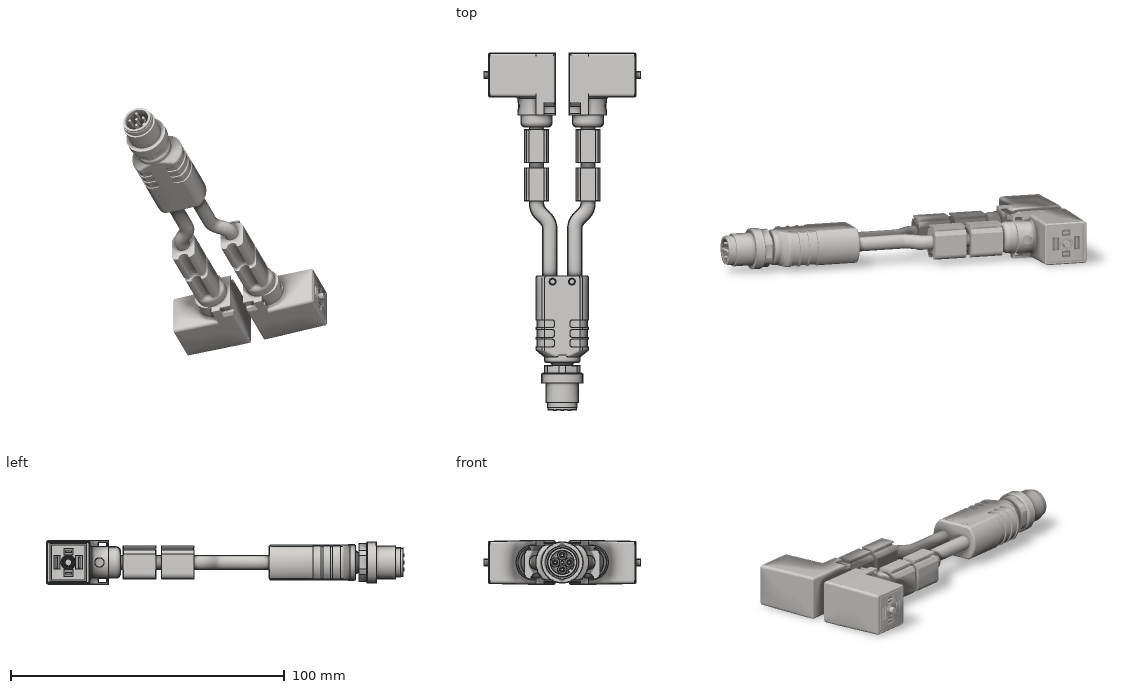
import cadquery as cq
import math


overall_length = 130.5
overall_width = 57.3
overall_height = 16.0

margin = 0.1
overlap = 1.3

plate_inner_x = 2.5
plate_outer_x = 9.7
plate_end_y = 107.9
edge_round = 0.9
housing_round = 1.0
housing_end_y = 114.5
gasket_x = 26.3
gasket_thickness = 0.7
gasket_height = 15.4
gasket_round = 0.4

panel_width = 12.3
panel_height = 12.8
panel_y = 122.5
panel_depth = 0.3
frame_width = 0.5
centre_pin_diameter = 2.5
pin_ring_diameters = (3.9, 5.2)
ring_groove_width = 0.4
slot_depth = 1.3
blade_thickness = 0.5
slot_length = 5.0
rear_slot_width = 2.2
rear_slot_offset = 4.2
front_slot_width = 2.6
front_slot_offset = 3.9
side_slot_width = 3.3
side_slot_height = 2.5
side_slot_offset = 3.9

notch_outer_x = 6.7
notch_start_y = 112.3
notch_ramp_end_y = 110.2
notch_floor_z = 6.9
window_start_y = 111.5
window_end_y = 108.5
window_low_z = 5.9
window_high_z = 7.3

collar_x = 10.5
collar_diameter = 11.5
collar_flare = 0.7
light_diameter = 3.4
light_y = 111.1
light_floor_x = 15.7
cap_end_y = 103.5
cap_round = 1.8

cable_diameter = 5.2
upper_cable_x = 9.4
lower_cable_x = 4.6
bend_start_y = 75.7
bend_angle = 45.0
bend_radius = 5.3
tag_length = 12.0
tag_end_ys = (90.5, 76.6)
tag_half_width = 4.5
tag_half_height = 6.0
tag_corner = 2.0
tag_arch_radius = 2.0
tag_side_top_z = 3.0
tag_shoulder_x = 3.7
tag_shoulder_z = 4.6
label_half_width = 2.7
label_bottom_z = 5.3
rail_half_width = 2.2
rail_setback = 0.3

block_start_y = 49.2
block_end_y = 18.0
block_half_width = 9.7
block_half_height = 6.4
block_side_x = 7.3
block_side_z = 5.9
block_flat_x = 6.4
block_edge_round = 0.8
nose_wide_y = 22.6
nose_wide_radius = 10.0
nose_tip_radius = 4.6
nose_round = 0.8
grip_count = 3
grip_pitch = 3.5
grip_width = 2.9
first_grip_y = 31.7
grip_inner_x = 2.7
grip_depth = 0.4
grip_corner = 1.0
screw_x = 3.5
screw_y = 47.1
screw_diameter = 2.5
screw_core_diameter = 2.0
screw_depth = 0.4

collar_ring_diameter = 13.0
collar_ring_start_y = 20.2
collar_ring_end_y = 17.6
collar_ring_round = 0.8
neck_diameter = 8.7
neck_end_diameter = 6.8
nut_start_y = 16.5
nut_across_flats = 13.0
nut_corner_diameter = 14.0
knurl_start_y = 13.7
knurl_diameter = 15.0
knurl_chamfer = 0.4
barrel_start_y = 10.0
barrel_diameter = 12.0
sleeve_start_y = 3.0
sleeve_diameter = 10.8
sleeve_tip_y = 0.3
sleeve_step_y = 1.2
sleeve_step_diameter = 10.5
bore_diameter = 8.7
bore_floor_y = 7.8
contact_diameter = 1.0
outer_contact_count = 4
contact_circle_radius = 2.6
key_width = 1.3
key_height = 0.8
key_angle = 45.0
well_diameters = (3.4, 2.0)
well_depth = 0.4


def box(x0, x1, y0, y1, z0, z1):
    """Box between two opposite corners."""
    corner = (min(x0, x1), min(y0, y1), min(z0, z1))
    return cq.Workplane("XY").box(abs(x1 - x0), abs(y1 - y0), abs(z1 - z0), centered=False).translate(corner)


def rod(diameter, y0, y1, x=0.0, z=0.0):
    """Cylinder along Y from y0 down to y1."""
    return cq.Workplane("XZ", origin=(x, y0, z)).circle(diameter / 2).extrude(y0 - y1)


def side_disc(diameter, x0, x1, y):
    """Cylinder along X on the mid plane, from x0 to x1."""
    return cq.Workplane("YZ", origin=(x0, y, 0)).circle(diameter / 2).extrude(x1 - x0)


def make_housing():
    half_height = overall_height / 2
    plate = box(plate_inner_x, plate_outer_x, plate_end_y, overall_length, -half_height, half_height)
    plate = plate.edges("(<X and |Y) or (>Y and |X)").fillet(edge_round)
    block = (
        cq.Workplane("XZ", origin=(0, overall_length, 0))
        .polyline([
            (plate_outer_x, -half_height),
            (gasket_x, -gasket_height / 2),
            (gasket_x, gasket_height / 2),
            (plate_outer_x, half_height),
        ])
        .close()
        .extrude(overall_length - housing_end_y)
    )
    long_edges = cq.selectors.BoxSelector(
        (plate_outer_x + margin, 0, -half_height),
        (gasket_x - margin, overall_length + margin, half_height),
    )
    block = block.edges(long_edges).fillet(housing_round)
    gasket = box(
        gasket_x, gasket_x + gasket_thickness,
        housing_end_y, overall_length, -gasket_height / 2, gasket_height / 2,
    )
    gasket = gasket.edges("|X").fillet(edge_round).faces(">X").edges().chamfer(gasket_round)
    return plate.union(block).union(gasket)


def cut_contact_face(housing):
    """Grooved frame, contact slots, ring grooves and centre pin on the +X face."""
    face_x = gasket_x + gasket_thickness
    face = cq.Workplane("YZ", origin=(face_x, panel_y, 0))
    frame = (
        face.rect(panel_width + 2 * frame_width, panel_height + 2 * frame_width)
        .rect(panel_width, panel_height)
        .extrude(-panel_depth)
    )
    housing = housing.cut(frame)
    for diameter in pin_ring_diameters:
        ring = face.circle(diameter / 2).circle(diameter / 2 - ring_groove_width).extrude(-panel_depth)
        housing = housing.cut(ring)
    contact_slots = (
        (rear_slot_offset, 0, rear_slot_width, slot_length),
        (-front_slot_offset, 0, front_slot_width, slot_length),
        (0, side_slot_offset, side_slot_width, side_slot_height),
        (0, -side_slot_offset, side_slot_width, side_slot_height),
    )
    for y, z, width, height in contact_slots:
        if height > width:
            blade_size = (blade_thickness, height - 2 * blade_thickness)
        else:
            blade_size = (width - 2 * blade_thickness, blade_thickness)
        slot_face = face.center(y, z)
        slot = slot_face.rect(width, height).extrude(-slot_depth)
        blade = slot_face.rect(*blade_size).extrude(-slot_depth)
        housing = housing.cut(slot.cut(blade))
    return housing.union(side_disc(centre_pin_diameter, gasket_x, overall_width / 2, panel_y))


def cut_clip(housing):
    """Ramped notch and see-through window at the plate end, above and below."""
    top_z = overall_height / 2
    notch = (
        cq.Workplane("YZ", origin=(plate_inner_x, 0, 0))
        .polyline([
            (notch_start_y, top_z),
            (notch_ramp_end_y, notch_floor_z),
            (plate_end_y, notch_floor_z),
            (plate_end_y, top_z),
        ])
        .close()
        .extrude(notch_outer_x - plate_inner_x)
    )
    window = box(plate_inner_x, plate_outer_x, window_end_y, window_start_y, window_low_z, window_high_z)
    clip = notch.union(window)
    return housing.cut(clip).cut(clip.mirror("XY"))


def make_collar():
    radius = collar_diameter / 2
    collar = rod(collar_diameter, housing_end_y, plate_end_y, collar_x)
    base_diameter = collar_diameter + 2 * collar_flare
    base = rod(base_diameter, housing_end_y + overlap, housing_end_y - collar_flare, collar_x)
    collar = collar.union(base.faces("<Y").edges().chamfer(collar_flare))
    collar = collar.union(box(plate_outer_x, collar_x, plate_end_y, housing_end_y, -radius, radius))
    collar = collar.cut(side_disc(light_diameter, light_floor_x, collar_x + collar_diameter, light_y))
    cap = rod(collar_diameter, plate_end_y, cap_end_y, upper_cable_x).faces("<Y").edges().fillet(cap_round)
    return collar.union(cap)


def make_tag(end_y):
    """Cable marker: rounded below, with a label rail along the top."""
    right_side = [
        (tag_half_width, tag_side_top_z),
        (tag_shoulder_x, tag_shoulder_z),
        (rail_half_width, tag_shoulder_z),
        (rail_half_width, label_bottom_z),
        (label_half_width, label_bottom_z),
        (label_half_width, tag_half_height),
    ]
    left_side = [(-x, z) for x, z in reversed(right_side)]
    outline = (
        [(tag_half_width, -tag_half_height)] + right_side + left_side + [(-tag_half_width, -tag_half_height)]
    )
    tag = cq.Workplane("XZ", origin=(upper_cable_x, end_y + tag_length, 0)).polyline(outline).close()
    tag = tag.extrude(tag_length)
    tag = tag.faces("<Z").edges("|Y").fillet(tag_corner)
    arch = rod(2 * tag_arch_radius, end_y + tag_length, end_y, upper_cable_x, -tag_half_height)
    setback = box(
        upper_cable_x - rail_half_width, upper_cable_x + rail_half_width,
        end_y, end_y + rail_setback, tag_shoulder_z, label_bottom_z,
    )
    return tag.cut(arch).cut(setback)


def make_cable():
    """Cable with two opposite bends joined by a short slanted stretch."""
    angle = math.radians(bend_angle)
    arc_dx = bend_radius * (1 - math.cos(angle))
    arc_dy = bend_radius * math.sin(angle)
    half_dx = bend_radius * (1 - math.cos(angle / 2))
    half_dy = bend_radius * math.sin(angle / 2)
    slant_dx = upper_cable_x - lower_cable_x - 2 * arc_dx
    slant_dy = slant_dx / math.tan(angle)
    bend_end_y = bend_start_y - 2 * arc_dy - slant_dy
    path = (
        cq.Workplane("XY")
        .moveTo(upper_cable_x, plate_end_y)
        .lineTo(upper_cable_x, bend_start_y)
        .threePointArc(
            (upper_cable_x - half_dx, bend_start_y - half_dy), (upper_cable_x - arc_dx, bend_start_y - arc_dy)
        )
        .line(-slant_dx, -slant_dy)
        .threePointArc((lower_cable_x + half_dx, bend_end_y + half_dy), (lower_cable_x, bend_end_y))
        .lineTo(lower_cable_x, block_start_y - overlap)
    )
    section = cq.Workplane("XZ", origin=(upper_cable_x, plate_end_y, 0)).circle(cable_diameter / 2)
    return section.sweep(path)


def block_outline(inset):
    """Splitter cross-section, flat above and below with bowed sides, shrunk by inset."""
    half_height = block_half_height - inset
    half_width = block_half_width - inset
    side = block_side_x - inset
    side_z = block_side_z - inset
    return (
        cq.Workplane("XZ", origin=(0, block_start_y, 0))
        .moveTo(-block_flat_x, half_height)
        .lineTo(block_flat_x, half_height)
        .lineTo(side, side_z)
        .threePointArc((half_width, 0), (side, -side_z))
        .lineTo(block_flat_x, -half_height)
        .lineTo(-block_flat_x, -half_height)
        .lineTo(-side, -side_z)
        .threePointArc((-half_width, 0), (-side, side_z))
        .close()
        .extrude(block_start_y - block_end_y)
    )


def make_grips():
    """Shallow finger grooves wrapping both sides of the splitter block."""
    shell = block_outline(0).cut(block_outline(grip_depth))
    outer_x = block_half_width + 2 * grip_corner
    grips = cq.Workplane("XY")
    for index in range(grip_count):
        y = first_grip_y - index * grip_pitch
        bar = box(
            grip_inner_x, outer_x,
            y - grip_width / 2, y + grip_width / 2, -overall_height / 2, overall_height / 2,
        )
        bar = bar.edges("|Z").fillet(grip_corner)
        grips = grips.add(bar.intersect(shell))
    grips = grips.combine()
    return grips.union(grips.mirror("YZ"))


def make_splitter():
    block = block_outline(0).faces(">Y").edges().fillet(block_edge_round)
    nose = (
        cq.Workplane("XY")
        .polyline([
            (0, block_end_y),
            (nose_tip_radius, block_end_y),
            (nose_wide_radius, nose_wide_y),
            (2 * block_half_width, nose_wide_y),
            (2 * block_half_width, block_start_y),
            (0, block_start_y),
        ])
        .close()
        .revolve(360, (0, 0, 0), (0, 1, 0))
    )
    block = block.intersect(nose)
    nose_edges = cq.selectors.BoxSelector(
        (-overall_width, block_end_y + margin, -overall_height),
        (overall_width, nose_wide_y + margin, overall_height),
    )
    block = block.edges(nose_edges).fillet(nose_round).cut(make_grips())
    screw_groove = (
        cq.Workplane("XY", origin=(0, screw_y, block_half_height))
        .pushPoints([(-screw_x, 0), (screw_x, 0)])
        .circle(screw_diameter / 2)
        .circle(screw_core_diameter / 2)
        .extrude(-screw_depth)
    )
    return block.cut(screw_groove)


def make_plug():
    neck = (
        cq.Workplane("XY")
        .polyline([
            (0, collar_ring_end_y),
            (neck_diameter / 2, collar_ring_end_y),
            (neck_end_diameter / 2, nut_start_y),
            (0, nut_start_y),
        ])
        .close()
        .revolve(360, (0, 0, 0), (0, 1, 0))
    )
    collar_ring = rod(collar_ring_diameter, collar_ring_start_y, collar_ring_end_y)
    collar_ring = collar_ring.faces("<Y").edges().fillet(collar_ring_round)
    nut = (
        cq.Workplane("XZ", origin=(0, nut_start_y, 0))
        .transformed(rotate=(0, 0, 90))
        .polygon(6, nut_across_flats / math.cos(math.pi / 6))
        .extrude(nut_start_y - knurl_start_y)
        .intersect(rod(nut_corner_diameter, nut_start_y, knurl_start_y))
    )
    knurl = rod(knurl_diameter, knurl_start_y, barrel_start_y).faces(">Y").edges().chamfer(knurl_chamfer)
    shell = (
        rod(barrel_diameter, barrel_start_y, sleeve_start_y)
        .union(rod(sleeve_diameter, sleeve_start_y, sleeve_step_y))
        .union(rod(sleeve_step_diameter, sleeve_step_y, sleeve_tip_y))
        .cut(rod(bore_diameter, bore_floor_y, sleeve_tip_y))
    )
    plug = collar_ring.union(neck).union(nut).union(knurl).union(shell)
    key = box(
        bore_diameter / 2 - key_height, sleeve_step_diameter / 2 - key_height / 2,
        sleeve_tip_y, bore_floor_y, -key_width / 2, key_width / 2,
    )
    return plug.union(key.rotate((0, 0, 0), (0, 1, 0), key_angle))


def add_contacts(plug):
    """Centre pin and four outer pins, each outer pin standing in a stepped well."""
    centres = [(0.0, 0.0)]
    for index in range(outer_contact_count):
        angle = 2 * math.pi * index / outer_contact_count
        x = contact_circle_radius * math.cos(angle)
        z = contact_circle_radius * math.sin(angle)
        centres.append((x, z))
        for step, diameter in enumerate(well_diameters, start=1):
            plug = plug.cut(rod(diameter, bore_floor_y + step * well_depth, bore_floor_y, x, z))
    pin_root_y = bore_floor_y + (len(well_diameters) + 1) * well_depth
    for x, z in centres:
        plug = plug.union(rod(contact_diameter, pin_root_y, 0, x, z))
    return plug


connector = cut_clip(cut_contact_face(make_housing()))
branch = connector.union(make_collar()).union(make_cable())
for tag_end_y in tag_end_ys:
    branch = branch.union(make_tag(tag_end_y))

result = branch.union(branch.mirror("YZ")).union(make_splitter()).union(add_contacts(make_plug()))